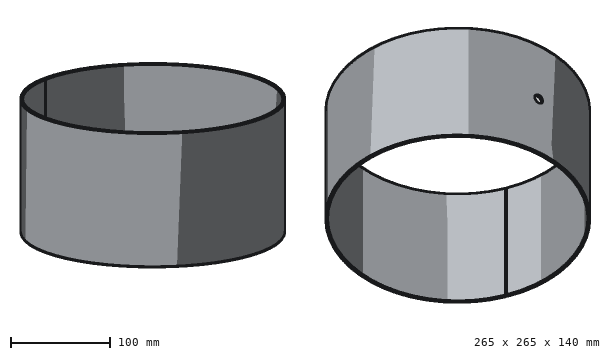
import cadquery as cq

outer_diameter = 265.0
height = 140.0
wall = 2.6
edge_chamfer = 1.3
chamfer_inset = 0.8
slit_width = 2.0
hole_diameter = 10.0
hole_angle = 59.0

outer_radius = outer_diameter / 2
inner_radius = outer_radius - wall
half_height = height / 2


def sleeve():
    """Ring with inner and outer rims chamfered, revolved from its wall section."""
    rim_radius = outer_radius - chamfer_inset
    bore_rim_radius = inner_radius + chamfer_inset
    shoulder_z = half_height - edge_chamfer
    section = [
        (inner_radius, -shoulder_z),
        (bore_rim_radius, -half_height),
        (rim_radius, -half_height),
        (outer_radius, -shoulder_z),
        (outer_radius, shoulder_z),
        (rim_radius, half_height),
        (bore_rim_radius, half_height),
        (inner_radius, shoulder_z),
    ]
    return cq.Workplane("XZ").polyline(section).close().revolve(360, (0, 0, 0), (0, 1, 0))


def slit():
    """Full-height cut through the wall on the -X side."""
    cutter = cq.Workplane("XY").box(outer_diameter, slit_width, height)
    return cutter.translate((-outer_radius, slit_width / 2, 0))


def radial_hole():
    """Cutter for one radial hole through the wall at mid height."""
    cutter = cq.Workplane("YZ").circle(hole_diameter / 2).extrude(outer_diameter)
    return cutter.rotate((0, 0, 0), (0, 0, 1), hole_angle)


result = sleeve().cut(slit()).cut(radial_hole())